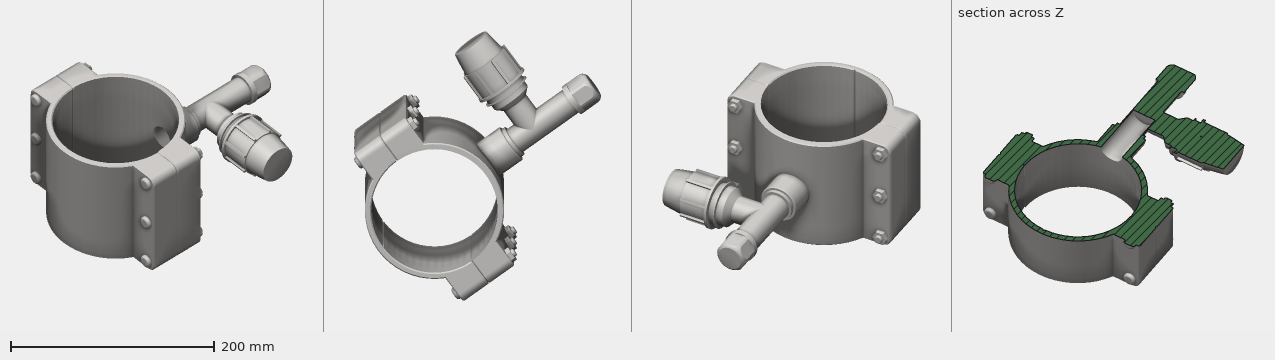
import cadquery as cq
import math

HEIGHT = 124.0
RING_DIAMETER = 137.3
BORE_DIAMETER = 124.7
EDGE_CHAMFER = 1.18

FLANGE_HALF_WIDTH = 92.0
FLANGE_THICKNESS = 31.2
FLANGE_CORNER_RADIUS = 9.5

BOLT_X = 81.5
BOLT_SPACING = 51.5
BOLT_DIAMETER = 8.0
BOLT_STANDOUT = 7.5
BOLT_END_CHAMFER = 0.8
HEAD_DIAMETER = 13.0
HEAD_HEIGHT = 4.0
HEAD_FLAT_DIAMETER = 8.0
NUT_WIDTH = 13.0
NUT_HEIGHT = 4.7

TEE_TOP = 193.4
BOSS_DIAMETER = 39.3
BOSS_START = 64.2
BOSS_TOP = 93.5
BOSS_CHAMFER = 0.8
COLLAR_DIAMETER = 33.3
COLLAR_TOP = 97.5
TUBE_DIAMETER = 27.5
TAP_BORE_DIAMETER = 25.0

CAP_BOTTOM = 167.0
CAP_RIM = 5.5
CAP_FLAT_WIDTH = 30.0
CAP_TOP_DIAMETER = 25.0
CAP_CROWN_HEIGHT = 6.8

BRANCH_Y = 120.3
NECK_END = 31.2
SOCKET_START = 37.5
SOCKET_DIAMETER = 40.5
STOP_RING_START = 44.8
STOP_RING_DIAMETER = 48.5
STOP_RING_WIDTH = 1.0
BARREL_DIAMETER = 43.2
GRIP_FLANGE_START = 52.1
GRIP_FLANGE_DIAMETER = 54.0
GRIP_FLANGE_WIDTH = 2.5
GRIP_DIAMETER = 48.2
GRIP_END = 82.8
OUTLET_START_DIAMETER = 45.0
TAPER_START = 83.5
OUTLET_END = 105.0
OUTLET_END_DIAMETER = 38.3
OUTLET_BULGE = 0.3

RIB_COUNT = 8
RIB_WIDTH = 2.5
RIB_TIP_DIAMETER = 53.0


def cylinder_along_y(diameter, start, end, x=0, z=0):
    """Cylinder parallel to Y between two Y stations."""
    plane = cq.Workplane("XZ", origin=(x, start, z))
    return plane.circle(diameter / 2).extrude(start - end)


def hexagon_along_y(flat_width, start, end, x=0, z=0):
    """Hexagonal prism parallel to Y with two of its flats facing up and down."""
    return (
        cq.Workplane("XZ", origin=(x, start, z))
        .transformed(rotate=(0, 0, 30))
        .polygon(6, flat_width, circumscribed=True)
        .extrude(start - end)
    )


def clamp_half(chamfer_bore):
    """Half of the clamp on the +Y side, resting on the plane Y = 0."""
    full_ring = cq.Workplane("XY").cylinder(HEIGHT, RING_DIAMETER / 2)
    above_flanges = cq.Workplane("XY", origin=(0, FLANGE_THICKNESS / 2, 0)).box(
        RING_DIAMETER, RING_DIAMETER, HEIGHT, centered=(True, False, True)
    )
    arch = full_ring.edges().chamfer(EDGE_CHAMFER).intersect(above_flanges)
    flanges = (
        cq.Workplane("XY")
        .box(2 * FLANGE_HALF_WIDTH, FLANGE_THICKNESS, HEIGHT, centered=(True, False, True))
        .edges("|Y")
        .fillet(FLANGE_CORNER_RADIUS)
        .faces("<Y or >Y")
        .edges()
        .chamfer(EDGE_CHAMFER)
    )
    bore = cq.Workplane("XY").cylinder(HEIGHT, BORE_DIAMETER / 2)
    half = arch.union(flanges).cut(bore)
    if chamfer_bore:
        half = half.cut(bore_chamfers())
    return half


def bore_chamfers():
    """Chamfers at both bore mouths and at the two bore edges on the split."""
    mouth_radius = BORE_DIAMETER / 2 + EDGE_CHAMFER
    cone = (
        cq.Workplane("XZ")
        .polyline([(0, HEIGHT / 2), (mouth_radius, HEIGHT / 2), (0, HEIGHT / 2 - mouth_radius)])
        .close()
        .revolve(360, (0, 0, 0), (0, 1, 0))
    )
    wedge = (
        cq.Workplane("XY", origin=(0, 0, -HEIGHT / 2))
        .polyline([(-mouth_radius, 0), (mouth_radius, 0), (0, mouth_radius)])
        .close()
        .extrude(HEIGHT)
    )
    return cone.union(cone.mirror("XY")).union(wedge)


def bolt(x, z):
    """Bolt with a domed head below the flanges and a hexagon nut above them."""
    nut_top = FLANGE_THICKNESS + NUT_HEIGHT
    shank = cylinder_along_y(BOLT_DIAMETER, 0, FLANGE_THICKNESS + BOLT_STANDOUT, x, z)
    shank = shank.faces(">Y").chamfer(BOLT_END_CHAMFER)
    head = cylinder_along_y(HEAD_DIAMETER, 0, -FLANGE_THICKNESS - HEAD_HEIGHT, x, z)
    head = head.faces("<Y").edges().fillet((HEAD_DIAMETER - HEAD_FLAT_DIAMETER) / 2)
    nut = hexagon_along_y(NUT_WIDTH, 0, nut_top, x, z)
    return shank.union(head).union(nut)


def cap():
    """Cap with a round rim, six flats and a rounded crown."""
    radius = COLLAR_DIAMETER / 2
    top_radius = CAP_TOP_DIAMETER / 2
    crown_bottom = TEE_TOP - CAP_CROWN_HEIGHT
    inset = radius - top_radius
    crown_radius = (inset**2 + CAP_CROWN_HEIGHT**2) / (2 * inset)
    half_angle = math.asin(CAP_CROWN_HEIGHT / crown_radius) / 2
    crown_middle = (
        radius - crown_radius * (1 - math.cos(half_angle)),
        crown_bottom + crown_radius * math.sin(half_angle),
    )
    blank = (
        cq.Workplane("XY")
        .moveTo(0, CAP_BOTTOM)
        .lineTo(radius, CAP_BOTTOM)
        .lineTo(radius, crown_bottom)
        .threePointArc(crown_middle, (top_radius, TEE_TOP))
        .lineTo(0, TEE_TOP)
        .close()
        .revolve(360, (0, 0, 0), (0, 1, 0))
    )
    rim = cylinder_along_y(COLLAR_DIAMETER, CAP_BOTTOM, CAP_BOTTOM + CAP_RIM)
    hexagon = hexagon_along_y(CAP_FLAT_WIDTH, CAP_BOTTOM, TEE_TOP)
    return blank.intersect(hexagon.union(rim))


def tee():
    """Boss, collar, tube and cap stacked along Y."""
    boss = cylinder_along_y(BOSS_DIAMETER, BOSS_START, BOSS_TOP)
    boss = boss.faces(">Y").chamfer(BOSS_CHAMFER)
    collar = cylinder_along_y(COLLAR_DIAMETER, BOSS_TOP, COLLAR_TOP)
    tube = cylinder_along_y(TUBE_DIAMETER, COLLAR_TOP, CAP_BOTTOM)
    return boss.union(collar).union(tube).union(cap())


def branch():
    """Side branch with a ribbed compression nut and a tapering outlet."""
    stop_ring_end = STOP_RING_START + STOP_RING_WIDTH
    grip_flange_end = GRIP_FLANGE_START + GRIP_FLANGE_WIDTH
    outlet_middle = (
        (TAPER_START + OUTLET_END) / 2,
        (OUTLET_START_DIAMETER + OUTLET_END_DIAMETER) / 4 + OUTLET_BULGE,
    )
    body = (
        cq.Workplane("XY", origin=(0, BRANCH_Y, 0))
        .lineTo(0, TUBE_DIAMETER / 2)
        .lineTo(NECK_END, TUBE_DIAMETER / 2)
        .lineTo(SOCKET_START, SOCKET_DIAMETER / 2)
        .lineTo(STOP_RING_START, SOCKET_DIAMETER / 2)
        .lineTo(STOP_RING_START, STOP_RING_DIAMETER / 2)
        .lineTo(stop_ring_end, STOP_RING_DIAMETER / 2)
        .lineTo(stop_ring_end, BARREL_DIAMETER / 2)
        .lineTo(GRIP_FLANGE_START, BARREL_DIAMETER / 2)
        .lineTo(GRIP_FLANGE_START, GRIP_FLANGE_DIAMETER / 2)
        .lineTo(grip_flange_end, GRIP_FLANGE_DIAMETER / 2)
        .lineTo(grip_flange_end, GRIP_DIAMETER / 2)
        .lineTo(GRIP_END, GRIP_DIAMETER / 2)
        .lineTo(GRIP_END, OUTLET_START_DIAMETER / 2)
        .lineTo(TAPER_START, OUTLET_START_DIAMETER / 2)
        .threePointArc(outlet_middle, (OUTLET_END, OUTLET_END_DIAMETER / 2))
        .lineTo(OUTLET_END, 0)
        .close()
        .revolve(360, (0, 0, 0), (1, 0, 0))
    )
    rib_length = GRIP_END - GRIP_FLANGE_START
    rib = cq.Workplane("XY", origin=(GRIP_FLANGE_START, BRANCH_Y, 0)).box(
        rib_length, RIB_TIP_DIAMETER / 2, RIB_WIDTH, centered=(False, False, True)
    )
    axis_start = (0, BRANCH_Y, 0)
    axis_end = (1, BRANCH_Y, 0)
    for index in range(RIB_COUNT):
        angle = (index + 0.5) * 360 / RIB_COUNT
        body = body.union(rib.rotate(axis_start, axis_end, angle))
    return body


upper_half = clamp_half(chamfer_bore=False)
lower_half = clamp_half(chamfer_bore=True).mirror("XZ")
result = upper_half.union(lower_half)

for side in (-1, 1):
    for level in (-1, 0, 1):
        result = result.union(bolt(side * BOLT_X, level * BOLT_SPACING))

result = result.union(tee()).union(branch())
result = result.cut(cylinder_along_y(TAP_BORE_DIAMETER, 0, BRANCH_Y))